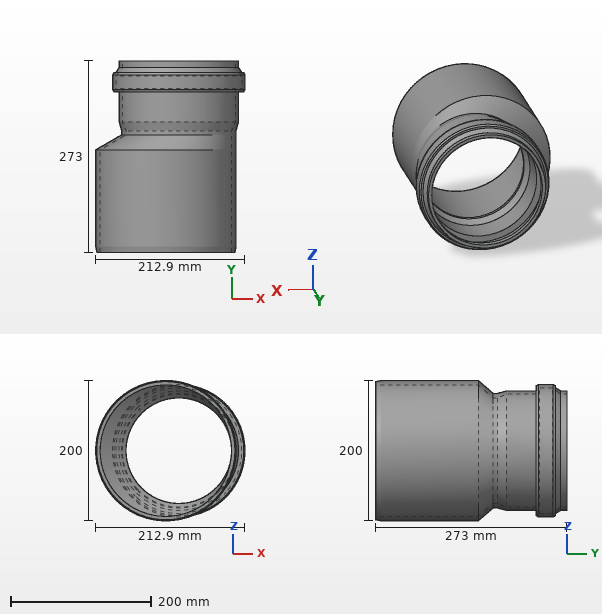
import cadquery as cq

length = 273.0

spigot_diameter = 200.0
spigot_bore = 187.3
spigot_end = 146.3
lead_in_length = 8.0
lead_in_depth = 1.6

neck_diameter = 163.3
neck_bore = 150.2
neck_start = 167.5
neck_end = 173.4
axis_offset = (spigot_diameter - neck_diameter) / 2

socket_diameter = 170.4
socket_bore = 161.0
socket_wall = (socket_diameter - socket_bore) / 2
socket_start = 186.2
ring_diameter = 189.0
ring_bore = 179.4
ring_start = 228.8
ring_end = 256.3
ring_bevel_length = 3.3
ring_bevel_depth = 2.0
shoulder_diameter = 179.4
shoulder_end = 263.7


def disc_wire(x, y, diameter):
    """Circle about an axis parallel to Y."""
    return cq.Wire.makeCircle(diameter / 2, cq.Vector(x, y, 0), cq.Vector(0, 1, 0))


def taper(start_diameter, end_diameter):
    """Oblique cone joining the spigot axis to the socket axis."""
    start = disc_wire(0, spigot_end, start_diameter)
    end = disc_wire(axis_offset, neck_start, end_diameter)
    return cq.Workplane("XY").newObject([cq.Solid.makeLoft([start, end], True)])


def turned(x, profile):
    """Solid of revolution about the line parallel to Y at x; profile holds (radius, y)."""
    start_y = profile[0][1]
    end_y = profile[-1][1]
    points = [(0, start_y)] + profile + [(0, end_y)]
    outline = cq.Workplane("XY").polyline(points).close()
    return outline.revolve(360, (0, 0, 0), (0, 1, 0)).translate((x, 0, 0))


spigot_radius = spigot_diameter / 2
spigot = turned(0, [
    (spigot_radius - lead_in_depth, 0),
    (spigot_radius, lead_in_length),
    (spigot_radius, spigot_end),
])

ring_radius = ring_diameter / 2
bevelled_radius = ring_radius - ring_bevel_depth
socket = turned(axis_offset, [
    (neck_diameter / 2, neck_start),
    (neck_diameter / 2, neck_end),
    (socket_diameter / 2, socket_start),
    (socket_diameter / 2, ring_start),
    (bevelled_radius, ring_start),
    (ring_radius, ring_start + ring_bevel_length),
    (ring_radius, ring_end - ring_bevel_length),
    (bevelled_radius, ring_end),
    (shoulder_diameter / 2, ring_end),
    (socket_diameter / 2, shoulder_end),
    (socket_diameter / 2, length),
])

spigot_hole = turned(0, [
    (spigot_bore / 2, 0),
    (spigot_bore / 2, spigot_end),
])

socket_hole = turned(axis_offset, [
    (neck_bore / 2, neck_start),
    (neck_bore / 2, neck_end),
    (socket_bore / 2, socket_start),
    (socket_bore / 2, ring_start + socket_wall),
    (ring_bore / 2, ring_start + socket_wall),
    (ring_bore / 2, ring_end - socket_wall),
    (socket_bore / 2, shoulder_end),
    (socket_bore / 2, length),
])

outside = spigot.union(taper(spigot_diameter, neck_diameter)).union(socket)
passage = spigot_hole.union(taper(spigot_bore, neck_bore)).union(socket_hole)
result = outside.cut(passage)